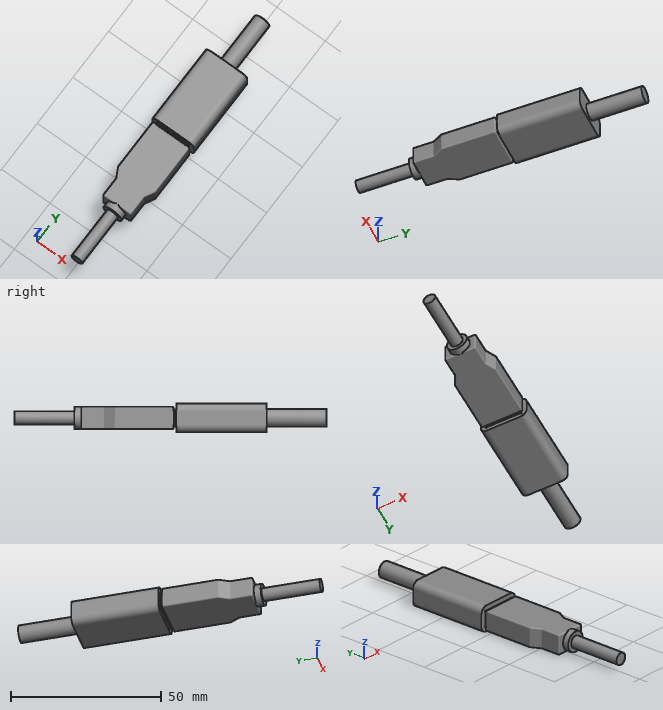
import cadquery as cq

total_length = 103.9
cable_length = 20.0
socket_housing_length = 30.0
housing_gap = 0.9
boot_length = 2.3

socket_width = 17.1
socket_height = 9.7
socket_corner_radius = 2.5
socket_cable_diameter = 6.0

sleeve_width = 13.3
sleeve_height = 5.9
sleeve_lip = 0.3

plug_width = 15.4
plug_tail_width = 11.5
plug_height = 7.5
plug_edge_radius = 0.5
plug_tail_length = 7.6
plug_taper_length = 3.6
boot_diameter = 7.5
plug_cable_diameter = 4.5

shell_width = 12.1
shell_height = 4.7
insertion_depth = 12.0

back_y = total_length / 2
front_y = -total_length / 2
socket_back_y = back_y - cable_length
socket_mouth_y = socket_back_y - socket_housing_length
sleeve_back_y = socket_mouth_y + insertion_depth
sleeve_mouth_y = socket_mouth_y - sleeve_lip
plug_back_y = socket_mouth_y - housing_gap
boot_front_y = front_y + cable_length
plug_front_y = boot_front_y + boot_length
taper_front_y = plug_front_y + plug_tail_length
taper_back_y = taper_front_y + plug_taper_length


def bar(width, height, y_start, y_end):
    """Rectangular bar along Y, centred on the Y axis."""
    return (
        cq.Workplane("XZ", origin=(0, y_start, 0))
        .rect(width, height)
        .extrude(y_start - y_end)
    )


def rod(diameter, y_start, y_end):
    """Round bar along Y, centred on the Y axis."""
    return (
        cq.Workplane("XZ", origin=(0, y_start, 0))
        .circle(diameter / 2)
        .extrude(y_start - y_end)
    )


def make_socket():
    """Rounded housing with its cable and a recess for the receptacle sleeve."""
    housing = bar(socket_width, socket_height, socket_mouth_y, socket_back_y)
    housing = housing.edges("|Y").fillet(socket_corner_radius)
    cable = rod(socket_cable_diameter, socket_back_y, back_y)
    recess = bar(sleeve_width, sleeve_height, socket_mouth_y, sleeve_back_y)
    return housing.union(cable).cut(recess)


def make_receptacle():
    """Rectangular sleeve that stands slightly proud of the socket housing."""
    sleeve = bar(sleeve_width, sleeve_height, sleeve_mouth_y, sleeve_back_y)
    opening = bar(shell_width, shell_height, sleeve_mouth_y, sleeve_back_y)
    return sleeve.cut(opening)


def make_plug_housing():
    """Flat block that tapers to a narrower tail, with every edge rounded."""
    right_side = [
        (plug_tail_width / 2, plug_front_y),
        (plug_tail_width / 2, taper_front_y),
        (plug_width / 2, taper_back_y),
        (plug_width / 2, plug_back_y),
    ]
    left_side = [(-x, y) for x, y in reversed(right_side)]
    block = (
        cq.Workplane("XY", origin=(0, 0, -plug_height / 2))
        .polyline(right_side + left_side)
        .close()
        .extrude(plug_height)
    )
    return block.edges().fillet(plug_edge_radius)


def make_plug():
    """Plug housing with its boot, its cable and the shell that enters the sleeve."""
    boot = rod(boot_diameter, boot_front_y, plug_front_y + plug_edge_radius)
    cable = rod(plug_cable_diameter, front_y, boot_front_y)
    shell = bar(shell_width, shell_height, plug_back_y, sleeve_back_y)
    return make_plug_housing().union(boot).union(cable).union(shell)


socket = make_socket()
receptacle = make_receptacle()
plug = make_plug()

result = cq.Compound.makeCompound([socket.val(), receptacle.val(), plug.val()])